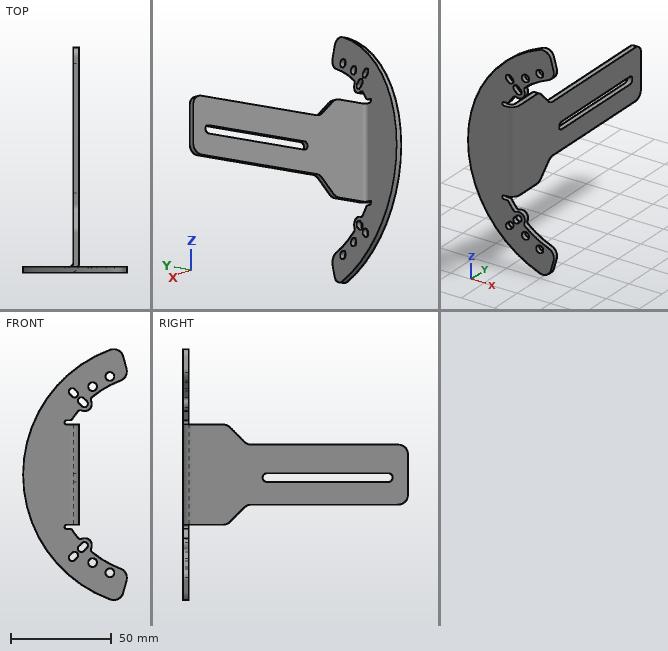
import cadquery as cq
import math

thickness = 3.0
bend_inner_radius = 2.0
bend_outer_radius = bend_inner_radius + thickness

outer_radius = 66.2
inner_radius = 50.0
arc_center_x = outer_radius
tip_angle = 74.5
tip_fillet = 5.0

lobe_angle = 44.7
lobe_radius = 3.6
lobe_fillet = 1.5
hole_diameter = 4.2
hole_circle_radius = 54.0
hole_angles = (54.2, 64.8)
small_slot_width = 3.4
small_slots = ((57.8, 5.0), (51.2, 5.5))

flange_outer_x = 28.0
flange_inner_x = flange_outer_x - thickness
bend_start_x = flange_outer_x - bend_outer_radius
flange_length = 112.0
flange_base_half_width = 25.0
flange_end_half_width = 15.0
taper_start_y = 22.0
taper_end_y = taper_start_y + flange_base_half_width - flange_end_half_width
flange_fillet = 5.0
long_slot_start_y = 39.7
long_slot_end_y = 104.3
long_slot_width = 4.2
long_slot_z = -1.5

relief_width = 2.0
relief_end_x = 20.7
relief_fillet = 1.5


def polar(radius, angle):
    """XZ point at a radius and angle about the arc center."""
    turn = math.radians(angle)
    return (arc_center_x - radius * math.cos(turn), radius * math.sin(turn))


def plate_prism(sketch):
    """Extrude an XZ sketch through the plate, from Y = 0 to the plate's back face."""
    return sketch.extrude(-thickness)


def fillet_at(body, points, radius):
    """Round the Y-direction edges that pass through the given XZ points."""
    for x, z in points:
        edge = cq.selectors.NearestToPointSelector((x, thickness / 2, z))
        body = body.edges("|Y").edges(edge).fillet(radius)
    return body


def mirrored(points):
    return [(x, side * z) for x, z in points for side in (1, -1)]


def crescent():
    body = plate_prism(
        cq.Workplane("XZ")
        .moveTo(*polar(outer_radius, tip_angle))
        .threePointArc(polar(outer_radius, 0), polar(outer_radius, -tip_angle))
        .lineTo(*polar(inner_radius, -tip_angle))
        .threePointArc(polar(inner_radius, 0), polar(inner_radius, tip_angle))
        .close()
    )
    tip_corners = [polar(outer_radius, tip_angle), polar(inner_radius, tip_angle)]
    body = fillet_at(body, mirrored(tip_corners), tip_fillet)

    lobe_centers = mirrored([polar(inner_radius, lobe_angle)])
    body = body.union(plate_prism(cq.Workplane("XZ").pushPoints(lobe_centers).circle(lobe_radius)))
    half_span = math.degrees(2 * math.asin(lobe_radius / (2 * inner_radius)))
    lobe_corners = [polar(inner_radius, lobe_angle + side * half_span) for side in (1, -1)]
    return fillet_at(body, mirrored(lobe_corners), lobe_fillet)


def tip_holes():
    centers = mirrored([polar(hole_circle_radius, angle) for angle in hole_angles])
    cutter = plate_prism(cq.Workplane("XZ").pushPoints(centers).circle(hole_diameter / 2))
    for radius, length in small_slots:
        for side in (1, -1):
            center = polar(radius, side * lobe_angle)
            sketch = cq.Workplane("XZ").pushPoints([center])
            cutter = cutter.union(plate_prism(sketch.slot2D(length, small_slot_width, -side * lobe_angle)))
    return cutter


def web():
    """Flat plate that fills the crescent's inner edge up to the start of the bend."""
    start_x = (arc_center_x - inner_radius) / 2
    return cq.Workplane("XY").box(
        bend_start_x - start_x, thickness, 2 * flange_base_half_width, centered=(False, False, True)
    ).translate((start_x, 0, 0))


def cut_relief_notches(body):
    """Cut a round-ended relief notch at each end of the bend and round its mouth."""
    notch_length = arc_center_x - relief_end_x
    notch_z = flange_base_half_width + relief_width / 2
    notch_centers = mirrored([(relief_end_x + notch_length / 2, notch_z)])
    notches = plate_prism(cq.Workplane("XZ").pushPoints(notch_centers).slot2D(notch_length, relief_width))
    mouth_z = flange_base_half_width + relief_width
    mouth_x = arc_center_x - math.sqrt(inner_radius**2 - mouth_z**2)
    return fillet_at(body.cut(notches), mirrored([(mouth_x, mouth_z)]), relief_fillet)


def bend():
    diagonal = math.sqrt(0.5)
    bend_center_y = bend_outer_radius
    outer_mid = (bend_start_x + bend_outer_radius * diagonal, bend_center_y - bend_outer_radius * diagonal)
    inner_mid = (bend_start_x + bend_inner_radius * diagonal, bend_center_y - bend_inner_radius * diagonal)
    return (
        cq.Workplane("XY")
        .moveTo(bend_start_x, 0)
        .threePointArc(outer_mid, (flange_outer_x, bend_center_y))
        .lineTo(flange_inner_x, bend_center_y)
        .threePointArc(inner_mid, (bend_start_x, thickness))
        .close()
        .extrude(flange_base_half_width, both=True)
    )


def flange():
    upper_side = [
        (bend_outer_radius, flange_base_half_width),
        (taper_start_y, flange_base_half_width),
        (taper_end_y, flange_end_half_width),
        (flange_length, flange_end_half_width),
    ]
    lower_side = [(y, -z) for y, z in reversed(upper_side)]
    plane = cq.Workplane("YZ", origin=(flange_inner_x, 0, 0))
    body = plane.polyline(upper_side + lower_side).close().extrude(thickness)
    rounded_from_y = (bend_outer_radius + taper_start_y) / 2
    rounded_edges = cq.selectors.BoxSelector(
        (flange_inner_x, rounded_from_y, -outer_radius),
        (flange_outer_x, flange_length + thickness, outer_radius),
    )
    body = body.edges("|X").edges(rounded_edges).fillet(flange_fillet)
    slot_center_y = (long_slot_start_y + long_slot_end_y) / 2
    slot_length = long_slot_end_y - long_slot_start_y
    slot = plane.center(slot_center_y, long_slot_z).slot2D(slot_length, long_slot_width).extrude(thickness)
    return body.cut(slot)


plate = cut_relief_notches(crescent().union(web())).cut(tip_holes())
result = plate.union(bend()).union(flange())